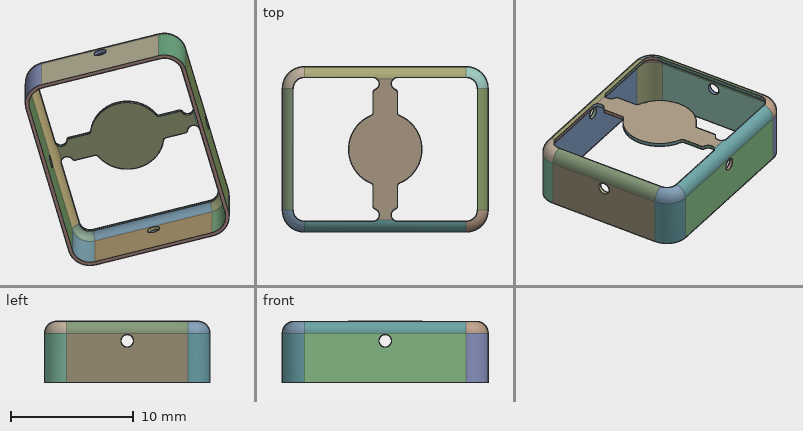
import cadquery as cq

length = 16.8
width = 13.5
height = 5.0
sheet = 0.3
corner_radius = 1.8
bend_radius = 1.0

rim_width = 0.9
window_length = length - 2 * rim_width
window_width = width - 2 * rim_width
window_corner_radius = corner_radius - rim_width

disc_diameter = 6.0
arm_width = 2.0
notch_radius = 0.5
notch_y = window_width / 2 - notch_radius
arm_corner_radius = 0.25

hole_diameter = 1.0
hole_z = 3.4


def rounded_shell_block(inset):
    """Block with rounded upright corners and top edges, set in from the outside faces."""
    return (
        cq.Workplane("XY")
        .box(length - 2 * inset, width - 2 * inset, height - inset, centered=(True, True, False))
        .edges("|Z")
        .fillet(corner_radius - inset)
        .faces(">Z")
        .edges()
        .fillet(bend_radius - inset)
    )


def spring_plate():
    """Full-height prism of the disc, its arms and the notches at the arm roots."""
    arms = cq.Workplane("XY").rect(arm_width, width).extrude(height)
    disc = cq.Workplane("XY").circle(disc_diameter / 2).extrude(height)
    notch_centers = [(x * arm_width / 2, y * notch_y) for x in (-1, 1) for y in (-1, 1)]
    notches = cq.Workplane("XY").pushPoints(notch_centers).circle(notch_radius).extrude(height)
    plate = arms.union(disc).cut(notches)

    selection_margin = notch_radius / 2
    for side in (-1, 1):
        corner_x = side * arm_width / 2
        corners = cq.selectors.BoxSelector(
            (corner_x - selection_margin, -notch_y, -height),
            (corner_x + selection_margin, notch_y, height),
        )
        plate = plate.edges("|Z").edges(corners).fillet(arm_corner_radius)
    return plate


def window_cutter():
    """Window opening with the spring plate left standing in it."""
    window = (
        cq.Workplane("XY")
        .rect(window_length, window_width)
        .extrude(height)
        .edges("|Z")
        .fillet(window_corner_radius)
    )
    return window.cut(spring_plate())


def wall_holes():
    """Two crossing pins that pierce all four walls."""
    radius = hole_diameter / 2
    along_x = cq.Workplane("YZ").center(0, hole_z).circle(radius).extrude(length, both=True)
    along_y = cq.Workplane("XZ").center(0, hole_z).circle(radius).extrude(width, both=True)
    return along_x.union(along_y)


cover = rounded_shell_block(0).cut(rounded_shell_block(sheet))
result = cover.cut(window_cutter()).cut(wall_holes())